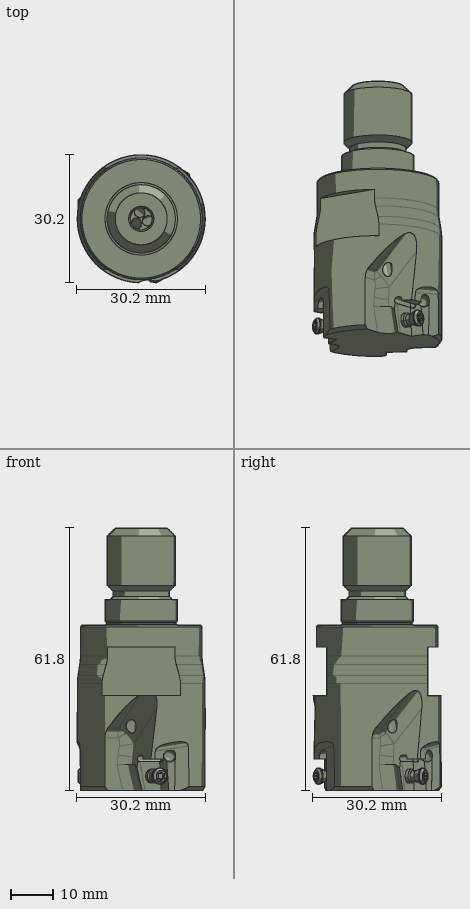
import cadquery as cq
import math


TOTAL_HEIGHT = 61.8
POCKET_ANGLES = [60, 180, 300]
CLEARANCE = 6.2

HEAD_RADIUS = 15.1
HEAD_TOP = 38.95
HEAD_TOP_CHAMFER = 0.4
NECK_RADIUS = 14.35
TAPER_BOTTOM = 25.15
TAPER_TOP = 31.65
TAPER_BLEND_HEIGHT = 1.9
TAPER_BLEND_DEPTH = 0.155
TIP_CHAMFER_DEPTH = 0.6
TIP_CHAMFER_HEIGHT = 0.9

COLLAR_RADIUS = 8.5
COLLAR_BOTTOM = 39.85
COLLAR_TOP = 44.9
UNDERCUT_RADIUS = 8.2
UNDERCUT_FLARE = 0.3
GROOVE_RADIUS = 6.7
GROOVE_FLARE = 0.75
THREAD_RADIUS = 8.05
THREAD_BOTTOM = 48.3
THREAD_CHAMFER = 1.9

FLAT_DISTANCE = 11.9
FLAT_BOTTOM = 22.4
FLAT_TOP = 33.75

BORE_RADIUS = 2.6
BORE_BOTTOM = 37.1
BORE_MOUTH_RADIUS = 2.95
BORE_MOUTH_DEPTH = 0.85
COOLANT_RADIUS = 1.2
COOLANT_START = cq.Vector(0.4, -1.55, BORE_BOTTOM)
COOLANT_EXIT = cq.Vector(8.8, -7.85, 14.6)
COOLANT_OVERRUN = 2.5

GULLET_FLOOR = 6.5
GULLET_RAMP_START = 13.65
GULLET_RAMP_ANGLE = 35.5
GULLET_WALL_POINT = (14.4, -4.45, 16.7)
GULLET_WALL_SWING = 18
GULLET_WALL_TILT = -5.5
GULLET_FLOOR_FILLET = 3.0
GULLET_RAMP_FILLET = 4.0
RAMP_WALL_EDGE_POINT = (11.1, -7.4, 19.8)
LOWER_WALL_SIDE = -5.6
LOWER_WALL_TILT = 14.5
LOWER_WALL_TOP = 6.2

SEAT_DISTANCE = 10.3
SEAT_HEIGHT = 7.4
SEAT_SIDE_TOP = -1.0
SEAT_SIDE_BOTTOM = -0.55
SEAT_SIDE_DRAFT = 4
SIDE_CHAMFER_EDGE = 1.0
SIDE_CHAMFER_ANGLE = 33
SIDE_CHAMFER_WIDTH = 2.5
BEVEL_SIDE = -4.95
BEVEL_WIDTH = 3.7
BEVEL_ANGLE = 12
BEVEL_TILT = 2.4
CORNER_RELIEF_RADIUS = 1.4
CORNER_RELIEF_SIDE = -0.6
CORNER_RELIEF_HEIGHT = 8.05
CORNER_RELIEF_DEPTH = 1.85
CORNER_RELIEF_SWING = 30
CORNER_RELIEF_TILT = 10
EDGE_RELIEF_RADIUS = 0.85
EDGE_RELIEF_DISTANCE = 10.9
EDGE_RELIEF_HEIGHT = 7.55
EDGE_RELIEF_START = -8.65

SHELF_DISTANCE = 14.4
SHELF_HEIGHT = 9.9
SHELF_END_RADIUS = 2.0
SHELF_SLOPE = 7.7
SHELF_LEAN = 0.6
SHELF_HALF_WIDTH = 7.4

SCREW_SIDE = -3.1
SCREW_HEIGHT = 3.4
SCREW_TIP = 7.4
SCREW_THREAD_RADIUS = 1.65
SCREW_THREAD_END = 11.1
SCREW_NECK_RADIUS = 1.3
SCREW_NECK_START = 11.45
SCREW_NECK_END = 12.5
SCREW_HEAD_RADIUS = 1.9
SCREW_RIM_START = 14.0
SCREW_RIM_END = 14.35
SCREW_FACE_RADIUS = 1.35
SCREW_FACE = 14.85
STAR_CORE_RADIUS = 0.75
STAR_LOBE_RADIUS = 0.25
STAR_LOBE_COUNT = 6
STAR_TURN = 30
STAR_DEPTH = 0.75


def half_space(point, swing, tilt):
    """Large block on one side of a plane through `point`.

    The block fills the -Y side, then is tilted about X and swung about Z.
    """
    size = 4 * TOTAL_HEIGHT
    block = cq.Workplane("XY").box(size, size, size).translate((0, -size / 2, 0))
    block = block.rotate((0, 0, 0), (1, 0, 0), tilt).rotate((0, 0, 0), (0, 0, 1), swing)
    return block.translate(point)


def tangent_of(degrees):
    return math.tan(math.radians(degrees))


def at_pocket(shape, angle):
    return shape.rotate((0, 0, 0), (0, 0, 1), angle)


def turned_blank():
    blend_top = (NECK_RADIUS + TAPER_BLEND_DEPTH, TAPER_TOP - TAPER_BLEND_HEIGHT)
    blend_bottom = (HEAD_RADIUS - TAPER_BLEND_DEPTH, TAPER_BOTTOM + TAPER_BLEND_HEIGHT)
    collar_chamfer = COLLAR_RADIUS - UNDERCUT_RADIUS
    groove_top = THREAD_BOTTOM - (THREAD_RADIUS - GROOVE_RADIUS)
    profile = (
        cq.Workplane("XZ")
        .lineTo(HEAD_RADIUS - TIP_CHAMFER_DEPTH, 0)
        .lineTo(HEAD_RADIUS, TIP_CHAMFER_HEIGHT)
        .lineTo(HEAD_RADIUS, TAPER_BOTTOM)
        .tangentArcPoint(blend_bottom, relative=False)
        .lineTo(*blend_top)
        .tangentArcPoint((NECK_RADIUS, TAPER_TOP), relative=False)
        .lineTo(NECK_RADIUS, HEAD_TOP - HEAD_TOP_CHAMFER)
        .lineTo(NECK_RADIUS - HEAD_TOP_CHAMFER, HEAD_TOP)
        .lineTo(UNDERCUT_RADIUS + UNDERCUT_FLARE, HEAD_TOP)
        .lineTo(UNDERCUT_RADIUS, HEAD_TOP + UNDERCUT_FLARE)
        .lineTo(UNDERCUT_RADIUS, COLLAR_BOTTOM - collar_chamfer)
        .lineTo(COLLAR_RADIUS, COLLAR_BOTTOM)
        .lineTo(COLLAR_RADIUS, COLLAR_TOP)
        .lineTo(GROOVE_RADIUS + GROOVE_FLARE, COLLAR_TOP)
        .lineTo(GROOVE_RADIUS, COLLAR_TOP + GROOVE_FLARE)
        .lineTo(GROOVE_RADIUS, groove_top)
        .lineTo(THREAD_RADIUS, THREAD_BOTTOM)
        .lineTo(THREAD_RADIUS, TOTAL_HEIGHT - THREAD_CHAMFER)
        .lineTo(THREAD_RADIUS - THREAD_CHAMFER, TOTAL_HEIGHT)
        .lineTo(0, TOTAL_HEIGHT)
        .close()
    )
    return profile.revolve(360, (0, 0, 0), (0, 1, 0))


def wrench_flats():
    height = FLAT_TOP - FLAT_BOTTOM
    flats = cq.Workplane("XY")
    for side in (1, -1):
        flats = flats.union(
            cq.Workplane("XY")
            .box(2 * HEAD_RADIUS, CLEARANCE, height)
            .translate((0, side * (FLAT_DISTANCE + CLEARANCE / 2), FLAT_BOTTOM + height / 2))
        )
    return flats


def central_bore():
    profile = [
        (0, BORE_BOTTOM),
        (BORE_RADIUS, BORE_BOTTOM),
        (BORE_RADIUS, TOTAL_HEIGHT - BORE_MOUTH_DEPTH),
        (BORE_MOUTH_RADIUS, TOTAL_HEIGHT),
        (0, TOTAL_HEIGHT),
    ]
    return cq.Workplane("XZ").polyline(profile).close().revolve(360, (0, 0, 0), (0, 1, 0))


def coolant_hole():
    direction = (COOLANT_EXIT - COOLANT_START).normalized()
    start = COOLANT_START - direction * COOLANT_OVERRUN / 2
    length = (COOLANT_EXIT - start).Length + COOLANT_OVERRUN
    return cq.Workplane("XY").add(cq.Solid.makeCylinder(COOLANT_RADIUS, length, start, direction))


def gullet():
    """Chip space: an upright floor that runs out along a ramp, with one slanted side wall."""
    outer = HEAD_RADIUS + CLEARANCE
    ramp_top = GULLET_RAMP_START + (outer - GULLET_FLOOR) / tangent_of(GULLET_RAMP_ANGLE)
    section = [
        (GULLET_FLOOR, -CLEARANCE),
        (GULLET_FLOOR, GULLET_RAMP_START),
        (outer, ramp_top),
        (outer, -CLEARANCE),
    ]
    block = cq.Workplane("XZ").polyline(section).close().extrude(2 * HEAD_RADIUS, both=True)
    space = block.intersect(half_space(GULLET_WALL_POINT, GULLET_WALL_SWING, GULLET_WALL_TILT))
    ramp_floor = space.faces("<X").edges(">Z")
    ramp_wall = space.edges(cq.selectors.NearestToPointSelector(RAMP_WALL_EDGE_POINT))
    space = space.newObject(ramp_wall.vals() + ramp_floor.vals()).fillet(GULLET_RAMP_FILLET)
    return space.faces("<X").edges(">Y").fillet(GULLET_FLOOR_FILLET)


def lower_gullet():
    """Widening of the chip space beside the seat, with a wall leaning the other way."""
    outer = HEAD_RADIUS + CLEARANCE
    block = cq.Workplane("XY").box(
        outer - GULLET_FLOOR, 4 * HEAD_RADIUS, LOWER_WALL_TOP + CLEARANCE, centered=(False, True, False)
    )
    block = block.translate((GULLET_FLOOR, 0, -CLEARANCE))
    wall_point = (SEAT_DISTANCE, LOWER_WALL_SIDE, 0)
    space = block.intersect(half_space(wall_point, 0, LOWER_WALL_TILT))
    return space.faces("<X").edges(">Y").fillet(GULLET_FLOOR_FILLET)


def seat_outline(depth):
    side_shift = depth * tangent_of(SEAT_SIDE_DRAFT)
    return [
        (-HEAD_RADIUS, 0),
        (-HEAD_RADIUS, SEAT_HEIGHT),
        (SEAT_SIDE_TOP + side_shift, SEAT_HEIGHT),
        (SEAT_SIDE_BOTTOM + side_shift, 0),
    ]


def insert_seat():
    return (
        cq.Workplane("YZ", origin=(SEAT_DISTANCE, 0, 0))
        .polyline(seat_outline(0))
        .close()
        .workplane(offset=CLEARANCE)
        .polyline(seat_outline(CLEARANCE))
        .close()
        .loft(ruled=True, combine=True)
    )


def seat_bevel():
    strip = cq.Workplane("XY").box(BEVEL_WIDTH, BEVEL_WIDTH, SEAT_HEIGHT, centered=(True, False, False))
    strip = strip.translate((SEAT_DISTANCE, BEVEL_SIDE - BEVEL_WIDTH, 0))
    return strip.intersect(half_space((SEAT_DISTANCE, BEVEL_SIDE, 0), 90 - BEVEL_ANGLE, BEVEL_TILT))


def side_chamfer():
    """Slanted face between the seat's side wall and the shelf."""
    strip = cq.Workplane("XY").box(
        CLEARANCE, SIDE_CHAMFER_WIDTH, SEAT_HEIGHT, centered=(True, False, False)
    )
    strip = strip.translate((SHELF_DISTANCE, SIDE_CHAMFER_EDGE - SIDE_CHAMFER_WIDTH, 0))
    edge_point = (SHELF_DISTANCE, SIDE_CHAMFER_EDGE, 0)
    return strip.intersect(half_space(edge_point, 90 - SIDE_CHAMFER_ANGLE, 0))


def corner_relief():
    """Round-ended blind hole drilled slantwise into the seat's inner corner."""
    mouth = (SHELF_DISTANCE, CORNER_RELIEF_SIDE, CORNER_RELIEF_HEIGHT)
    drill = (
        cq.Workplane("YZ", origin=(-CORNER_RELIEF_DEPTH, 0, 0))
        .circle(CORNER_RELIEF_RADIUS)
        .extrude(CORNER_RELIEF_DEPTH + CLEARANCE)
    )
    round_end = cq.Workplane("XY").sphere(CORNER_RELIEF_RADIUS).translate((-CORNER_RELIEF_DEPTH, 0, 0))
    drill = drill.union(round_end).rotate((0, 0, 0), (0, 1, 0), CORNER_RELIEF_TILT)
    return drill.rotate((0, 0, 0), (0, 0, 1), -CORNER_RELIEF_SWING).translate(mouth)


def edge_relief():
    return (
        cq.Workplane("XZ", origin=(0, EDGE_RELIEF_START, 0))
        .center(EDGE_RELIEF_DISTANCE, EDGE_RELIEF_HEIGHT)
        .circle(EDGE_RELIEF_RADIUS)
        .extrude(EDGE_RELIEF_START - CORNER_RELIEF_SIDE)
    )


def shelf():
    """Shallow flat with a rounded, sloping upper end."""
    arc_centre = SHELF_DISTANCE + SHELF_END_RADIUS
    arc_middle = SHELF_END_RADIUS * math.sqrt(0.5)
    section = (
        cq.Workplane("XZ")
        .moveTo(SHELF_DISTANCE, -CLEARANCE)
        .lineTo(SHELF_DISTANCE, SHELF_HEIGHT)
        .threePointArc(
            (arc_centre - arc_middle, SHELF_HEIGHT + arc_middle),
            (arc_centre, SHELF_HEIGHT + SHELF_END_RADIUS),
        )
        .lineTo(arc_centre, -CLEARANCE)
        .close()
    )
    pivot = (0, 0, SHELF_HEIGHT)
    space = section.extrude(SHELF_HALF_WIDTH, both=True).rotate(pivot, (1, 0, SHELF_HEIGHT), SHELF_SLOPE)
    lean_axis = (SHELF_DISTANCE, 0, SHELF_HEIGHT)
    return space.rotate(lean_axis, (SHELF_DISTANCE, 1, SHELF_HEIGHT), SHELF_LEAN)


def screw_hole():
    return (
        cq.Workplane("YZ", origin=(SCREW_TIP, 0, 0))
        .center(SCREW_SIDE, SCREW_HEIGHT)
        .circle(SCREW_THREAD_RADIUS)
        .extrude(SCREW_THREAD_END - SCREW_TIP)
    )


def star_recess():
    recess = cq.Workplane("YZ", origin=(SCREW_FACE - STAR_DEPTH, 0, 0))
    star = recess.circle(STAR_CORE_RADIUS).extrude(STAR_DEPTH)
    lobes = recess.polarArray(STAR_CORE_RADIUS, STAR_TURN, 360, STAR_LOBE_COUNT).circle(STAR_LOBE_RADIUS)
    return star.union(lobes.extrude(STAR_DEPTH))


def screw():
    profile = [
        (SCREW_TIP, 0),
        (SCREW_TIP, SCREW_THREAD_RADIUS),
        (SCREW_THREAD_END, SCREW_THREAD_RADIUS),
        (SCREW_NECK_START, SCREW_NECK_RADIUS),
        (SCREW_NECK_END, SCREW_NECK_RADIUS),
        (SCREW_RIM_START, SCREW_HEAD_RADIUS),
        (SCREW_RIM_END, SCREW_HEAD_RADIUS),
        (SCREW_FACE, SCREW_FACE_RADIUS),
        (SCREW_FACE, 0),
    ]
    turned = cq.Workplane("XY").polyline(profile).close().revolve(360, (0, 0, 0), (1, 0, 0))
    return turned.cut(star_recess()).translate((0, SCREW_SIDE, SCREW_HEIGHT))


def milling_head():
    head = turned_blank().cut(wrench_flats()).cut(central_bore())
    cutters = [
        gullet(),
        lower_gullet(),
        insert_seat(),
        seat_bevel(),
        side_chamfer(),
        corner_relief(),
        edge_relief(),
        shelf(),
        screw_hole(),
        coolant_hole(),
    ]
    for angle in POCKET_ANGLES:
        for cutter in cutters:
            head = head.cut(at_pocket(cutter, angle))
    return head


head = milling_head()
screws = [at_pocket(screw(), angle) for angle in POCKET_ANGLES]

result = cq.Compound.makeCompound([head.val(), *[item.val() for item in screws]])